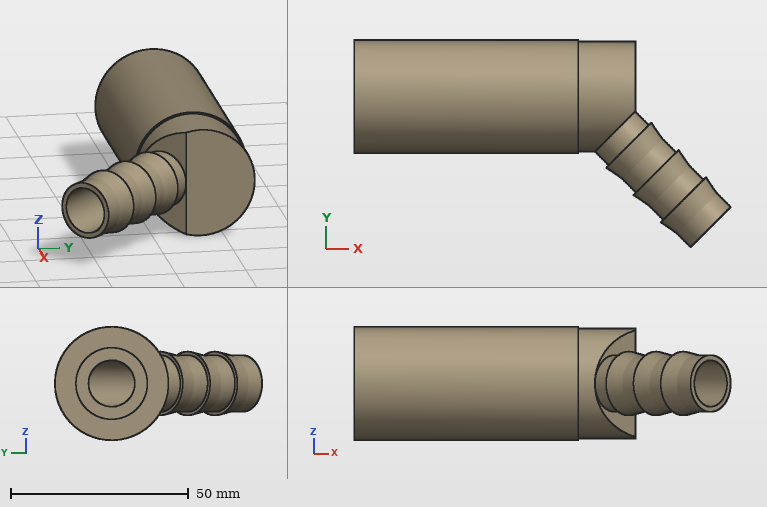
import cadquery as cq
import math

body_diameter = 32.0
body_length = 63.0
nose_diameter = 31.0
nose_end = 79.1

bend_angle = 45.0
bend_x = 63.5
tail_length = 51.9
seat_distance = 13.9
tail_diameter = 16.0
barb_diameter = 18.0
barb_count = 3

socket_diameter = 20.1
socket_depth = 50.0
bore_diameter = 13.0

segment_length = (tail_length - seat_distance) / (2 * barb_count + 1)
bend = math.radians(bend_angle)
tail_direction = cq.Vector(math.cos(bend), -math.sin(bend), 0)
bend_point = cq.Vector(bend_x, 0, 0)


def cylinder_x(start, end, diameter):
    """Cylinder on the X axis between two X positions."""
    return cq.Workplane("YZ", origin=(start, 0, 0)).circle(diameter / 2).extrude(end - start)


def tail_plane(distance):
    """Plane square to the tail axis, at a distance from the bend point."""
    origin = bend_point + tail_direction * distance
    return cq.Plane(origin=origin, xDir=(0, 0, 1), normal=tail_direction)


def body():
    """Stepped cylinder with its end corner cut flat, square to the tail."""
    solid = cylinder_x(0, body_length, body_diameter)
    solid = solid.union(cylinder_x(body_length, nose_end, nose_diameter))
    corner = cq.Workplane(tail_plane(seat_distance)).circle(body_diameter).extrude(body_diameter)
    return solid.cut(corner)


def tail():
    """Round tube with barbs that taper down towards the open end."""
    root = seat_distance - segment_length
    solid = cq.Workplane(tail_plane(root)).circle(tail_diameter / 2).extrude(tail_length - root)
    for index in range(barb_count):
        ridge = seat_distance + (2 * index + 1) * segment_length
        barb = (
            cq.Workplane(tail_plane(ridge))
            .circle(barb_diameter / 2)
            .workplane(offset=segment_length)
            .circle(tail_diameter / 2)
            .loft()
        )
        solid = solid.union(barb)
    return solid


def passages():
    """Wide socket, then a narrower bore that turns a mitred corner into the tail."""
    end_point = bend_point + tail_direction * tail_length
    path = cq.Workplane("XY").polyline([(0, 0), (bend_x, 0), (end_point.x, end_point.y)])
    bore = cq.Workplane("YZ").circle(bore_diameter / 2).sweep(path, transition="right")
    return cylinder_x(0, socket_depth, socket_diameter).union(bore)


result = body().union(tail()).cut(passages())